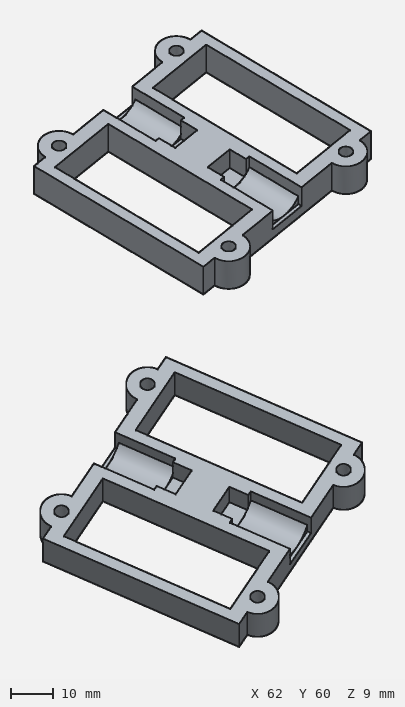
import cadquery as cq

overall_length = 62.0
frame_length = 52.0
frame_depth = 60.0
height = 9.0

ear_radius = (overall_length - frame_length) / 2
hole_diameter = 3.4
ear_spacing = 42.0

window_length = 44.15
window_width = 19.1
central_bar_width = 16.0

recess_depth = 6.0
recess_floor = height - recess_depth
cradle_width = 10.3
cradle_radius = 6.5
cradle_end = 16.0
end_gap = 1.0
notch_width = 7.9
notch_end = 21.0


def make_frame():
    frame = cq.Workplane("XY").box(frame_length, frame_depth, height, centered=(True, True, False))
    ears = cq.Workplane("XY").rect(frame_length, ear_spacing, forConstruction=True).vertices()
    return frame.union(ears.circle(ear_radius).extrude(height))


def mounting_holes():
    centres = cq.Workplane("XY").rect(frame_length, ear_spacing, forConstruction=True).vertices()
    return centres.circle(hole_diameter / 2).extrude(height)


def windows():
    window_offset = (central_bar_width + window_width) / 2
    centres = cq.Workplane("XY").pushPoints([(0, -window_offset), (0, window_offset)])
    return centres.rect(window_length, window_width).extrude(height)


def slot(start, end, width):
    """Flat-floored slot at the -X end, from start to end inward of the face."""
    return (
        cq.Workplane("XY")
        .box(end - start, width, recess_depth, centered=(False, True, False))
        .translate((start - frame_length / 2, 0, recess_floor))
    )


def cradle():
    """Straight-sided trough whose rounded floor touches the recess floor."""
    start = end_gap - frame_length / 2
    axis_height = recess_floor + cradle_radius
    cylinder = (
        cq.Workplane("YZ", origin=(start, 0, axis_height))
        .circle(cradle_radius)
        .extrude(cradle_end - end_gap)
    )
    return slot(end_gap, cradle_end, cradle_width).intersect(cylinder)


def end_recess():
    recess = slot(0, end_gap, cradle_width).union(cradle())
    return recess.union(slot(cradle_end, notch_end, notch_width))


left_recess = end_recess()
right_recess = left_recess.mirror("YZ")

result = make_frame().cut(windows()).cut(mounting_holes()).cut(left_recess).cut(right_recess)